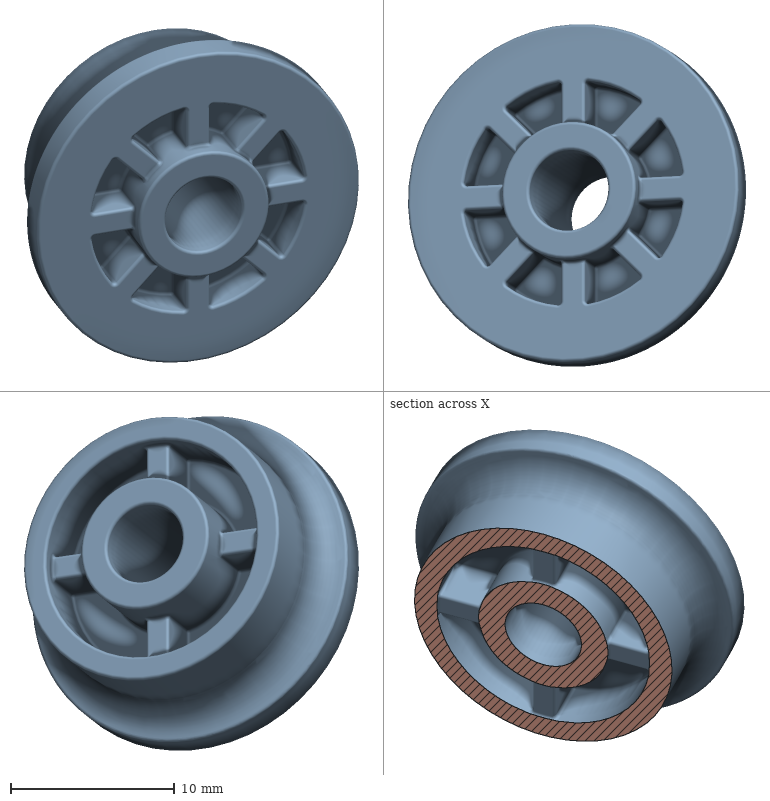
import cadquery as cq
import math

hub_length = 10.0
hub_radius = 4.25
bore_radius = 2.5
body_length = 8.0
tread_radius = 8.5
flange_radius = 10.5
flange_width = 2.0
wall_thickness = 1.5
front_rib_count = 4
back_rib_count = 8
front_rib_recess = 1.0
fillet_radius = 0.2
tolerance = 0.001

hub_end = hub_length / 2
body_end = body_length / 2
pocket_radius = tread_radius - wall_thickness
flange_start = body_end - flange_width
cove_radius = flange_radius - tread_radius
cove_start = flange_start - cove_radius
web_front = cove_start
web_back = web_front + wall_thickness
web_middle = (web_front + web_back) / 2
front_rib_top = -(body_end - front_rib_recess)
back_rib_top = body_end


def make_wheel():
    """Revolved hub, web and rim, with a coved flange at the +X end."""
    cove_middle = (
        cove_start + cove_radius * math.sin(math.pi / 4),
        flange_radius - cove_radius * math.cos(math.pi / 4),
    )
    profile = (
        cq.Workplane("XZ")
        .moveTo(-hub_end, bore_radius)
        .lineTo(-hub_end, hub_radius)
        .lineTo(web_front, hub_radius)
        .lineTo(web_front, pocket_radius)
        .lineTo(-body_end, pocket_radius)
        .lineTo(-body_end, tread_radius)
        .lineTo(cove_start, tread_radius)
        .threePointArc(cove_middle, (flange_start, flange_radius))
        .lineTo(body_end, flange_radius)
        .lineTo(body_end, pocket_radius)
        .lineTo(web_back, pocket_radius)
        .lineTo(web_back, hub_radius)
        .lineTo(hub_end, hub_radius)
        .lineTo(hub_end, bore_radius)
        .close()
    )
    return profile.revolve(360, (0, 0, 0), (1, 0, 0))


def make_ribs(count, x_start, x_end):
    """Evenly spaced radial ribs joining the hub to the rim between two X positions."""
    inner_radius = (bore_radius + hub_radius) / 2
    outer_radius = (pocket_radius + tread_radius) / 2
    rib_length = x_end - x_start
    rib_height = outer_radius - inner_radius
    rib = (
        cq.Workplane("XY")
        .box(rib_length, wall_thickness, rib_height, centered=(False, True, False))
        .translate((x_start, 0, inner_radius))
    )
    ribs = rib
    for index in range(1, count):
        ribs = ribs.union(rib.rotate((0, 0, 0), (1, 0, 0), index * 360 / count))
    return ribs


def is_bore_seam(edge):
    """True for the seam line along the full length of the bore."""
    return edge.geomType() == "LINE" and edge.Length() > body_length


def is_cove_start(edge):
    """True for the circle where the tread runs smoothly into the cove."""
    if edge.geomType() != "CIRCLE":
        return False
    in_plane = abs(edge.Center().x - cove_start) < tolerance
    on_tread = abs(edge.radius() - tread_radius) < tolerance
    return in_plane and on_tread


def round_edges(wheel):
    """Fillet every edge except the bore seam and the smooth start of the cove."""
    solid = wheel.val()
    sharp_edges = [
        edge for edge in solid.Edges() if not is_bore_seam(edge) and not is_cove_start(edge)
    ]
    return cq.Workplane("XY").newObject([solid.fillet(fillet_radius, sharp_edges)])


front_ribs = make_ribs(front_rib_count, front_rib_top, web_middle)
back_ribs = make_ribs(back_rib_count, web_middle, back_rib_top)
wheel = make_wheel().union(front_ribs).union(back_ribs)
result = round_edges(wheel)